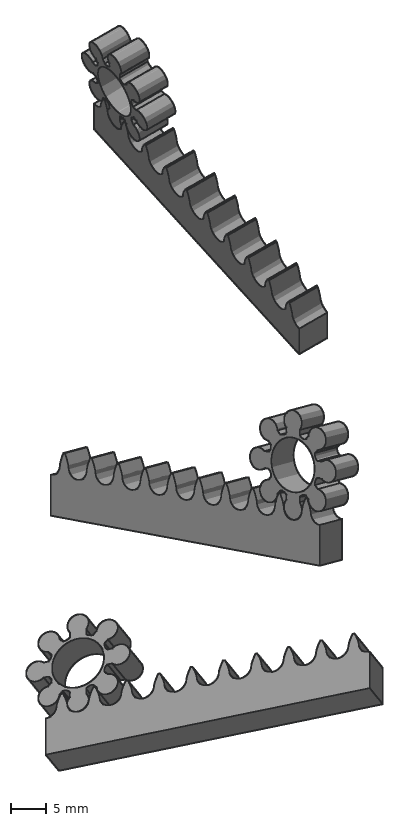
import cadquery as cq
import math

length = 53.0
thickness = 5.0

roller_count = 8
roller_radius = 1.65
pinion_outer_radius = 8.0
pitch_radius = pinion_outer_radius - roller_radius
bore_diameter = 8.0
root_radius = 4.5
hollow_radius = 1.05
hollow_center_radius = root_radius + hollow_radius
spoke_width = 2.5

tooth_count = 10
rack_length = 50.0
base_height = 6.0
tooth_height = 3.55
clearance = 0.05
pitch = rack_length / tooth_count
valley_radius = roller_radius + clearance
pitch_line_z = base_height + valley_radius
tip_z = base_height + tooth_height

rack_start_x = length - rack_length
pinion_x = pinion_outer_radius
pinion_z = pitch_line_z + pitch_radius


def polar(radius, angle):
    return (radius * math.cos(angle), radius * math.sin(angle))


def make_pinion():
    """Bored hub with round hollows, carrying flat-sided spokes, each ending in a round roller tooth."""
    axis_plane = cq.Workplane("XZ", origin=(pinion_x, 0, pinion_z))
    blank = axis_plane.circle(hollow_center_radius).extrude(-thickness)
    hollows = (
        axis_plane.polarArray(hollow_center_radius, 180 / roller_count, 360, roller_count)
        .circle(hollow_radius)
        .extrude(-thickness)
    )
    blank = blank.cut(hollows)
    spoke = axis_plane.center(pitch_radius / 2, 0).rect(pitch_radius, spoke_width).extrude(-thickness)
    roller = axis_plane.center(pitch_radius, 0).circle(roller_radius).extrude(-thickness)
    tooth = spoke.union(roller)
    axis_start = (pinion_x, 0, pinion_z)
    axis_end = (pinion_x, thickness, pinion_z)
    for index in range(roller_count):
        blank = blank.union(tooth.rotate(axis_start, axis_end, index * 360 / roller_count))
    bore = axis_plane.circle(bore_diameter / 2).extrude(-thickness)
    return blank.cut(bore)


def flank_point(roll_angle):
    """Cycloid of a rolling roller centre, offset by the valley radius.

    X is measured from the valley centre and Z from the pitch line.
    """
    x = pitch_radius * (roll_angle - math.sin(roll_angle)) + valley_radius * math.cos(roll_angle / 2)
    z = pitch_radius * (1 - math.cos(roll_angle)) - valley_radius * math.sin(roll_angle / 2)
    return (x, z)


def flank_start_angle():
    """Roll angle where the offset cycloid turns back at its lowest point.

    Below this angle the offset curve lies inside the valley circle.
    """
    return 2 * math.asin(valley_radius / (4 * pitch_radius))


def tip_angle():
    """Roll angle at which the flank reaches the tooth tip, found by bisection."""
    low = flank_start_angle()
    high = math.pi / 2
    bisection_steps = 50
    for _ in range(bisection_steps):
        middle = (low + high) / 2
        if pitch_line_z + flank_point(middle)[1] < tip_z:
            low = middle
        else:
            high = middle
    return high


def make_rack():
    """Bar with cycloidal teeth between round valleys, ending in half valleys."""
    flank_intervals = 8
    start_angle = flank_start_angle()
    angle_step = (tip_angle() - start_angle) / flank_intervals
    flank = [flank_point(start_angle + i * angle_step) for i in range(flank_intervals + 1)]
    flank_foot_z = flank[0][1]
    arc_end_angle = math.asin(flank_foot_z / valley_radius)
    arc_middle = polar(valley_radius, (arc_end_angle - math.pi / 2) / 2)

    outline = cq.Workplane("XZ").moveTo(rack_start_x, 0).lineTo(rack_start_x, base_height)
    for index in range(tooth_count):
        left = rack_start_x + index * pitch
        right = left + pitch
        rising = [(left + x, pitch_line_z + z) for x, z in flank]
        falling = [(right - x, pitch_line_z + z) for x, z in reversed(flank)]
        middle_z = pitch_line_z + arc_middle[1]
        outline = outline.threePointArc((left + arc_middle[0], middle_z), rising[0])
        outline = outline.spline(rising[1:], includeCurrent=True)
        outline = outline.lineTo(*falling[0])
        outline = outline.spline(falling[1:], includeCurrent=True)
        outline = outline.threePointArc((right - arc_middle[0], middle_z), (right, base_height))
    return outline.lineTo(length, 0).close().extrude(-thickness)


pinion = make_pinion()
rack = make_rack()
result = cq.Compound.makeCompound([pinion.val(), rack.val()])